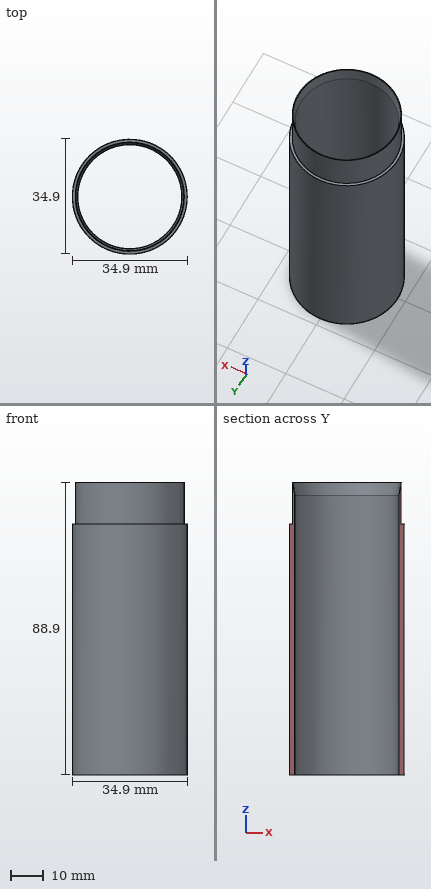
import cadquery as cq

total_length = 88.9
body_diameter = 34.9
spigot_diameter = 33.2
spigot_length = 12.6
bore_diameter = 31.6

mouth_depth = 4.0
rim_thickness = 0.2

body_length = total_length - spigot_length
mouth_diameter = spigot_diameter - 2 * rim_thickness

body = cq.Workplane("XY").circle(body_diameter / 2).extrude(body_length)
spigot = (
    cq.Workplane("XY")
    .workplane(offset=body_length)
    .circle(spigot_diameter / 2)
    .extrude(spigot_length)
)

bore = cq.Workplane("XY").circle(bore_diameter / 2).extrude(total_length)

mouth = (
    cq.Workplane("XY")
    .workplane(offset=total_length - mouth_depth)
    .circle(bore_diameter / 2)
    .workplane(offset=mouth_depth)
    .circle(mouth_diameter / 2)
    .loft(ruled=True)
)

result = body.union(spigot).cut(bore).cut(mouth)